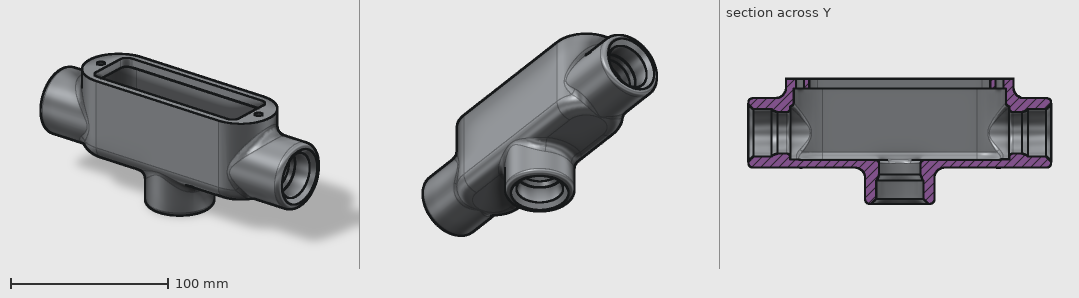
import cadquery as cq
overall_length = 193.04
overall_height = 79.86

body_width = 46.74
body_length = 145.04
body_edge_radius = 10.16
wall = 5.08
end_centre_x = (body_length - body_width) / 2

port_diameter = 44.45
port_radius = port_diameter / 2
port_edge_radius = 3.05
port_blend_radius = 12.7 / 2

mouth_diameter = 36.6
socket_diameter = 29.8
socket_depth = 15.0
throat_entry_diameter = 28.9
throat_diameter = 26.2
throat_depth = 18.7
mouth_depth = (mouth_diameter - socket_diameter) / 2

chamber_diameter = 33.55
chamber_depth = 27.0
chamber_entry_radius = 2.4
throat_exit_radius = 2.4

lip_depth = 6.35
opening_length = 115.0
opening_width = 35.5
opening_corner_radius = 10.35 / 2
screw_hole_diameter = 4.98
screw_spacing = 127.0

floor_drop = 0.05
body_height = 56.8
body_bottom = -port_radius - floor_drop
body_top = body_bottom + body_height
lower_port_end = body_top - overall_height
cavity_top = body_top - lip_depth
cavity_bottom = body_bottom + wall

half_length = overall_length / 2
left_mouth = cq.Plane(origin=(-half_length, 0, 0), xDir=(0, 1, 0), normal=(1, 0, 0))
right_mouth = cq.Plane(origin=(half_length, 0, 0), xDir=(0, 1, 0), normal=(-1, 0, 0))
lower_mouth = cq.Plane(origin=(0, 0, lower_port_end), xDir=(1, 0, 0), normal=(0, 0, 1))

side_port_length = half_length - end_centre_x
lower_port_length = -lower_port_end


def round_ended_block(length, width, bottom, top, edge_radius):
    """Round-ended prism with a rounded lower edge."""
    block = cq.Workplane("XY", origin=(0, 0, bottom)).slot2D(length, width).extrude(top - bottom)
    return block.faces("<Z").edges().fillet(edge_radius)


def port_tube(mouth, length):
    """Solid port cylinder with a rounded rim."""
    tube = cq.Workplane(mouth).circle(port_radius).extrude(length)
    rim = cq.NearestToPointSelector(mouth.origin.toTuple())
    return tube.faces(rim).edges().fillet(port_edge_radius)


def port_passage(mouth, length):
    """Space inside a port, revolved about the port axis."""
    profile = cq.Workplane(cq.Plane(origin=mouth.origin, xDir=mouth.xDir, normal=mouth.yDir * -1))
    profile = profile.polyline([
        (0, 0),
        (mouth_diameter / 2, 0),
        (socket_diameter / 2, mouth_depth),
        (socket_diameter / 2, socket_depth),
        (throat_entry_diameter / 2, socket_depth),
        (throat_diameter / 2, throat_depth),
        (throat_diameter / 2, length),
        (0, length),
    ]).close()
    return profile.revolve(360, (0, 0), (0, 1))


def side_junctions(shape):
    """Curves where a side port, or the chamber in it, runs into a rounded body end."""
    curves = shape.edges("%BSPLINE").vals()
    return shape.newObject([curve for curve in curves if abs(curve.Center().x) > end_centre_x])


def outer_shape():
    """Body and ports, blended where they meet."""
    body = round_ended_block(body_length, body_width, body_bottom, body_top, body_edge_radius)
    body = body.union(port_tube(lower_mouth, lower_port_length))
    around_lower_port = cq.selectors.BoxSelector(
        (-body_width / 2, -body_width / 2, body_bottom - floor_drop),
        (body_width / 2, body_width / 2, body_bottom + body_edge_radius),
        boundingbox=True,
    )
    body = body.edges(around_lower_port).fillet(port_blend_radius)
    for mouth in (left_mouth, right_mouth):
        body = body.union(port_tube(mouth, side_port_length))
    return side_junctions(body).fillet(port_blend_radius)


def inner_space():
    """Cavity joined with the three port passages, rounded where the passages enter it."""
    space = round_ended_block(
        body_length - 2 * wall,
        body_width - 2 * wall,
        cavity_bottom,
        cavity_top,
        body_edge_radius - wall,
    )
    space = space.union(port_passage(lower_mouth, lower_port_length))
    lower_entry = cq.NearestToPointSelector((0, 0, cavity_bottom))
    space = space.edges("%CIRCLE").edges(lower_entry).fillet(throat_exit_radius)
    for mouth in (left_mouth, right_mouth):
        chamber = cq.Workplane(mouth).workplane(offset=chamber_depth).circle(chamber_diameter / 2)
        space = space.union(chamber.extrude(side_port_length - chamber_depth))
    space = side_junctions(space).fillet(chamber_entry_radius)
    for mouth in (left_mouth, right_mouth):
        space = space.union(port_passage(mouth, chamber_depth))
        throat_exit = cq.selectors.RadiusNthSelector(0)
        exit_plane = cq.NearestToPointSelector((mouth.origin + mouth.zDir * chamber_depth).toTuple())
        space = space.faces(exit_plane).edges(throat_exit).fillet(throat_exit_radius)
    return space


def cover_opening():
    """Rectangular opening through the lip, with rounded corners."""
    opening = cq.Workplane("XY", origin=(0, 0, cavity_top)).rect(opening_length, opening_width)
    return opening.extrude(lip_depth).edges("|Z").fillet(opening_corner_radius)


def screw_holes():
    """Cover screw holes through the lip, one at each end."""
    centres = [(-screw_spacing / 2, 0), (screw_spacing / 2, 0)]
    holes = cq.Workplane("XY", origin=(0, 0, cavity_top)).pushPoints(centres)
    return holes.circle(screw_hole_diameter / 2).extrude(lip_depth)


result = outer_shape().cut(inner_space()).cut(cover_opening()).cut(screw_holes())